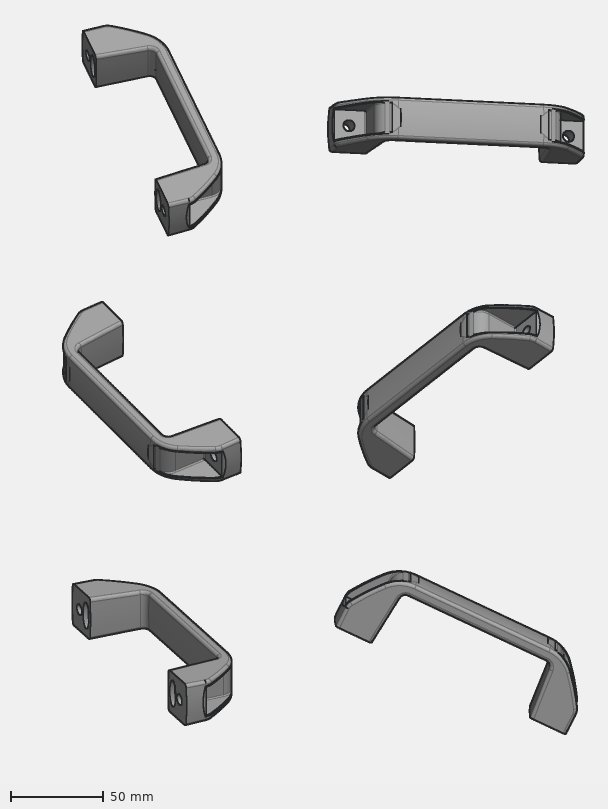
import cadquery as cq
import math

LENGTH = 140.0
HEIGHT = 40.0
FOOT_WIDTH = 25.0
SIDE_DRAFT = 1.6

SHOULDER_Y = 11.9
SHOULDER_RADIUS = 7.7
SLOPE_START = 58.0
SLOPE_END = 49.0
SLOPE_RADIUS = 133.0

GRIP_THICKNESS = 8.1
FOOT_LENGTH = 22.7
LEG_LEAN = 5.0
INNER_RADIUS = 3.5

OUTER_CROWN = 1.0
INNER_CROWN = 0.4
CROWN_DEPTH = 2.1
EDGE_RADIUS = 2.0

HOLE_DIAMETER = 6.2
HOLE_X = 61.0
LEDGE_WIDTH = 18.2
LEDGE_INSET = 0.8
LEDGE_START_Y = 10.0
LEDGE_TOP_Y = 39.9
POCKET_WIDTH = 17.1
POCKET_FLOOR_Y = 12.0
POCKET_WALL_X = 51.8
POCKET_TOP_Y = 39.2
POCKET_ARC_RADIUS = 8.3
POCKET_FILLET = 0.7
OVAL_X = 52.9
OVAL_WIDTH = 7.1
OVAL_HEIGHT = 15.8
OVAL_DEPTH = 3.1

HALF = LENGTH / 2
MARGIN = 1.4


def arc_point(start, radius, heading, new_heading):
    """Point reached on a clockwise arc between two headings (degrees from +X)."""
    a = math.radians(heading)
    b = math.radians(new_heading)
    return (
        start[0] + radius * (math.sin(a) - math.sin(b)),
        start[1] + radius * (math.cos(b) - math.cos(a)),
    )


def run_arc(start, radius, heading, new_heading):
    """Middle and end point of a clockwise arc."""
    middle = arc_point(start, radius, heading, (heading + new_heading) / 2)
    return middle, arc_point(start, radius, heading, new_heading)


def outer_arcs(inset, top):
    """(middle, end) points of the shoulder, slope and corner arcs.

    The shoulder and slope are moved into the body by inset; the corner levels out at Y = top.
    """
    shoulder = run_arc((-HALF + inset, SHOULDER_Y), SHOULDER_RADIUS - inset, 90, SLOPE_START)
    slope = run_arc(shoulder[1], SLOPE_RADIUS - inset, SLOPE_START, SLOPE_END)
    corner_radius = (top - slope[1][1]) / (1 - math.cos(math.radians(SLOPE_END)))
    corner = run_arc(slope[1], corner_radius, SLOPE_END, 0)
    return shoulder, slope, corner


def outer_path(inset):
    """Outer profile of the left half, from the foot to the middle of the grip."""
    path = cq.Workplane("XY").moveTo(-HALF + inset, 0).lineTo(-HALF + inset, SHOULDER_Y)
    for middle, end in outer_arcs(inset, HEIGHT - inset):
        path = path.threePointArc(middle, end)
    return path.lineTo(0, HEIGHT - inset)


def inner_points(inset):
    """Leg bottom, corner arc start, middle and end of the inner profile, moved in by inset."""
    lean = math.radians(LEG_LEAN)
    heading = 90 - LEG_LEAN
    radius = INNER_RADIUS + inset
    bottom = (FOOT_LENGTH - HALF - inset / math.cos(lean), 0)
    start_y = HEIGHT - GRIP_THICKNESS + inset - arc_point((0, 0), radius, heading, 0)[1]
    start = (bottom[0] + start_y * math.tan(lean), start_y)
    middle = arc_point(start, radius, heading, heading / 2)
    end = arc_point(start, radius, heading, 0)
    return bottom, start, middle, end


def inner_path():
    """Inner profile of the left half, starting a little below the foot."""
    bottom, start, middle, end = inner_points(0)
    below = (bottom[0] - MARGIN * math.tan(math.radians(LEG_LEAN)), -MARGIN)
    path = cq.Workplane("XY").moveTo(*below).lineTo(*start).threePointArc(middle, end)
    return path.lineTo(0, end[1])


def crown_strip(path, inward, crown):
    """Strip with a bulging outer face, swept along a profile; inward is +1 or -1 along X."""
    half_width = FOOT_WIDTH / 2
    spine = path.wire()
    first_edge = spine.val().Edges()[0]
    plane = cq.Plane(
        origin=first_edge.startPoint(),
        xDir=first_edge.tangentAt(0).cross(cq.Vector(0, 0, inward)),
        normal=first_edge.tangentAt(0),
    )
    section = (
        cq.Workplane(plane)
        .moveTo(crown, -half_width)
        .threePointArc((0, 0), (crown, half_width))
        .lineTo(CROWN_DEPTH, half_width)
        .lineTo(CROWN_DEPTH, -half_width)
        .close()
    )
    return section.sweep(spine)


def half_core():
    """Flat-faced body between the two crown strips."""
    bottom, start, middle, end = inner_points(INNER_CROWN)
    return (
        outer_path(OUTER_CROWN)
        .lineTo(0, end[1])
        .lineTo(*end)
        .threePointArc(middle, start)
        .lineTo(*bottom)
        .close()
        .extrude(FOOT_WIDTH / 2, both=True)
    )


def draft_wedge():
    """Left half envelope whose two Z sides lean inward."""
    top = HEIGHT + MARGIN
    base = FOOT_WIDTH / 2
    tip = base - top * math.tan(math.radians(SIDE_DRAFT))
    return (
        cq.Workplane("YZ")
        .polyline([(0, -base), (top, -tip), (top, tip), (0, base)])
        .close()
        .extrude(-HALF - MARGIN)
    )


def half_body():
    """Left half with crowned faces and drafted sides."""
    outer = crown_strip(outer_path(0), 1, OUTER_CROWN)
    inner = crown_strip(inner_path(), -1, INNER_CROWN)
    return half_core().union(outer).union(inner).intersect(draft_wedge())


def rounded_body():
    """Whole handle with the long edges of both sides rounded."""
    half = half_body()
    body = half.union(half.mirror("YZ")).clean()
    return body.faces(">Z or <Z").edges("not <Y").fillet(EDGE_RADIUS)


def pocket_cutter(lower_points, arcs, width):
    """Cutter open to the outside, bounded by points, then arcs up to the grip."""
    outside = HEIGHT + MARGIN
    cutter = cq.Workplane("XY").moveTo(-HALF - MARGIN, outside)
    for point in lower_points:
        cutter = cutter.lineTo(*point)
    for middle, end in arcs:
        cutter = cutter.threePointArc(middle, end)
    return cutter.lineTo(arcs[-1][1][0], outside).close().extrude(width / 2, both=True)


def ledge():
    """Shallow sunken rim around the pocket, running from the foot to the grip."""
    shoulder, slope, corner = outer_arcs(LEDGE_INSET, LEDGE_TOP_Y)
    steepness = (shoulder[1][1] - LEDGE_START_Y) / (shoulder[1][0] + HALF)
    start = (-HALF - MARGIN, LEDGE_START_Y - MARGIN * steepness)
    return pocket_cutter([start, shoulder[1]], [slope, corner], LEDGE_WIDTH)


def pocket():
    """Deep pocket: flat floor and straight wall, curving over to the top of the grip."""
    floor_start = (-HALF - MARGIN, POCKET_FLOOR_Y)
    floor_end = (-POCKET_WALL_X, POCKET_FLOOR_Y)
    wall_end = (-POCKET_WALL_X, POCKET_TOP_Y - POCKET_ARC_RADIUS)
    arc = run_arc(wall_end, POCKET_ARC_RADIUS, 90, 0)
    cutter = pocket_cutter([floor_start, floor_end, wall_end], [arc], POCKET_WIDTH)
    wall_middle = (-POCKET_WALL_X, (POCKET_FLOOR_Y + wall_end[1]) / 2, 0)
    wall = cutter.faces(cq.NearestToPointSelector(wall_middle))
    return wall.edges().fillet(POCKET_FILLET)


def foot_cutters():
    """Everything removed from the left foot."""
    hole = (
        cq.Workplane("XZ")
        .center(-HOLE_X, 0)
        .circle(HOLE_DIAMETER / 2)
        .extrude(-HEIGHT)
    )
    oval = (
        cq.Workplane("XZ")
        .center(-OVAL_X, 0)
        .ellipse(OVAL_WIDTH / 2, OVAL_HEIGHT / 2)
        .extrude(-OVAL_DEPTH)
    )
    return hole.union(oval).union(ledge()).union(pocket())


cutters = foot_cutters()
result = rounded_body().cut(cutters).cut(cutters.mirror("YZ"))